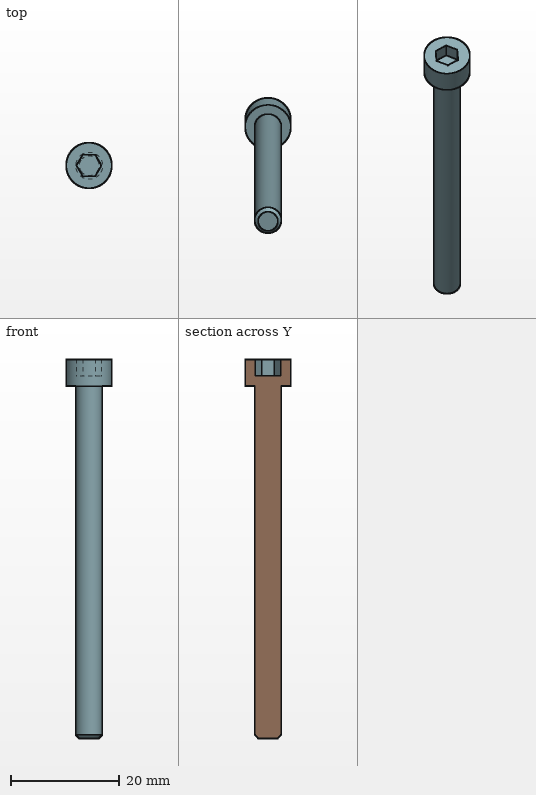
import cadquery as cq
import math

total_length = 70.0
head_diameter = 8.5
shank_diameter = 5.0
head_height = shank_diameter
shank_length = total_length - head_height

tip_diameter = 3.65
tip_height = 0.7

socket_across_flats = 4.0
socket_across_corners = socket_across_flats / math.cos(math.pi / 6)
socket_depth = 3.0


def make_body():
    """Revolve the half outline of the tip, shank and head."""
    return (
        cq.Workplane("XZ")
        .lineTo(tip_diameter / 2, 0)
        .lineTo(shank_diameter / 2, tip_height)
        .lineTo(shank_diameter / 2, shank_length)
        .lineTo(head_diameter / 2, shank_length)
        .lineTo(head_diameter / 2, total_length)
        .lineTo(0, total_length)
        .close()
        .revolve(360, (0, 0, 0), (0, 1, 0))
    )


def make_socket():
    """Hexagonal prism reaching down from the top of the head."""
    return (
        cq.Workplane("XY")
        .workplane(offset=total_length - socket_depth)
        .polygon(6, socket_across_corners)
        .extrude(socket_depth)
    )


result = make_body().cut(make_socket())